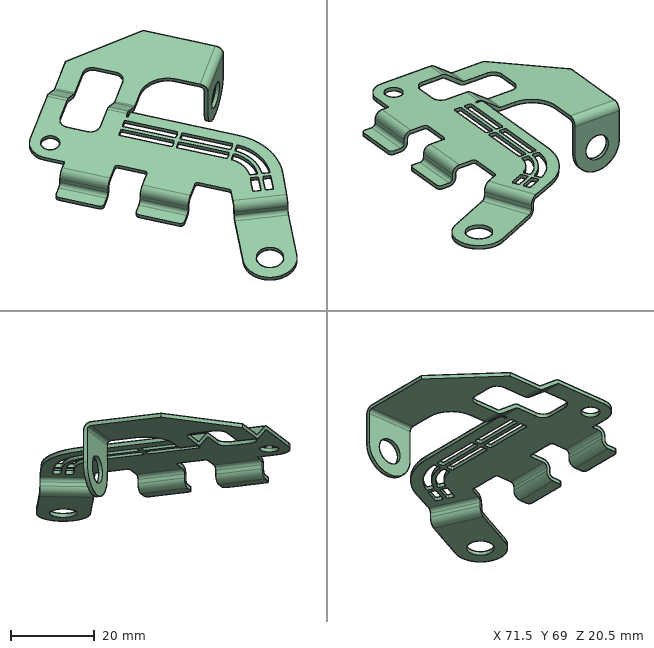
import cadquery as cq
import math

thickness = 1.0
inner_bend = 1.0
outer_bend = inner_bend + thickness
upper_top = 5.0
upper_bottom = upper_top - thickness
square_step_angle = 90.0

corner_radius = 5.0
left_x = -corner_radius
neck_right_x = 15.0
rear_y = 45.0
rear_chamfer = 15.0
neck_fillet = 7.0
rear_step_y = 14.3
rear_step_angle = 36.0
small_hole_diameter = 4.6

window_width = 10.0
window_y_min = 6.0
window_y_max = 30.0
window_radius = 2.5

eye_radius = 6.5
eye_hole_diameter = 6.6
flange_x = 30.0
flange_eye_z = -9.0
flange_y = rear_y - eye_radius

tab_lefts = (5.0, 25.0)
tab_width = 12.0
tab_step_y = -7.0
tab_end_y = -13.0
tab_corner_radius = 1.0
notch_y = -2.5
notch_radius = 0.7

arm_y = 15.0
arm_radius = 15.0
arm_center = (42.6, arm_y - arm_radius)
arm_start_angle = 90.0
lug_center = (60.0, -17.5)
lug_tilt = 25.0
arm_middle_angle = (arm_start_angle + lug_tilt) / 2
lug_step_to_eye = 16.0
relief_width = 0.5
relief_y = 13.6

slot_row_depths = (3.0, 6.0)
slot_width = 2.0
slot_web = 1.0
slot_radius = 0.35
slot_start_x = 15.0
slot_split_x = 28.9
lug_slot_length = 4.4

lug_along = cq.Vector(math.sin(math.radians(lug_tilt)), -math.cos(math.radians(lug_tilt)), 0)
lug_across = cq.Vector(-lug_along.y, lug_along.x, 0)


def lug_point(along, across):
    """Plan position measured from the lug eye, along the lug and towards its outer edge."""
    point = cq.Vector(*lug_center) + lug_along * along + lug_across * across
    return (point.x, point.y)


def arm_point(radius, angle):
    """Plan position on a circle about the centre of the arm's curve."""
    turn = math.radians(angle)
    return (arm_center[0] + radius * math.cos(turn), arm_center[1] + radius * math.sin(turn))


def step_run(angle):
    """Horizontal length of a step between the two levels."""
    turn = math.radians(angle)
    straight_rise = upper_bottom - (inner_bend + outer_bend) * (1 - math.cos(turn))
    return (inner_bend + outer_bend) * math.sin(turn) + straight_rise / math.tan(turn)


def step_down(start, direction, width, angle):
    """Double bend from the upper to the lower level, centred on start and running along direction."""
    run = step_run(angle)
    upper_bend_z = upper_top - outer_bend
    lower_bend_z = thickness + inner_bend

    def on_upper(radius, turn):
        return (radius * math.sin(math.radians(turn)), upper_bend_z + radius * math.cos(math.radians(turn)))

    def on_lower(radius, turn):
        return (run - radius * math.sin(math.radians(turn)),
                lower_bend_z - radius * math.cos(math.radians(turn)))

    plane = cq.Plane(
        origin=(start[0], start[1], 0),
        xDir=direction,
        normal=direction.cross(cq.Vector(0, 0, 1)),
    )
    return (
        cq.Workplane(plane)
        .moveTo(0, upper_top)
        .threePointArc(on_upper(outer_bend, angle / 2), on_upper(outer_bend, angle))
        .lineTo(*on_lower(inner_bend, angle))
        .threePointArc(on_lower(inner_bend, angle / 2), on_lower(inner_bend, 0))
        .lineTo(*on_lower(outer_bend, 0))
        .threePointArc(on_lower(outer_bend, angle / 2), on_lower(outer_bend, angle))
        .lineTo(*on_upper(inner_bend, angle))
        .threePointArc(on_upper(inner_bend, angle / 2), on_upper(inner_bend, 0))
        .close()
        .extrude(width / 2, both=True)
    )


def main_plate():
    """Upper-level plate, its edges ending where the steps begin."""
    outline = (
        cq.Workplane("XY", origin=(0, 0, upper_bottom))
        .moveTo(left_x, rear_step_y)
        .lineTo(left_x, 0)
        .radiusArc((0, -corner_radius), -corner_radius)
        .lineTo(tab_lefts[0], -corner_radius)
    )
    notch_corners = []
    for left in tab_lefts:
        right = left + tab_width
        outline = outline.lineTo(left, tab_step_y).lineTo(right, tab_step_y).lineTo(right, notch_y)
        notch_corners.append((right, notch_y))
        if left != tab_lefts[-1]:
            outline = outline.lineTo(tab_lefts[-1], notch_y)
            notch_corners.append((tab_lefts[-1], notch_y))

    lug_inner = lug_point(0, -eye_radius)
    lug_root_x = lug_inner[0] + (lug_inner[1] - notch_y) * math.tan(math.radians(lug_tilt))
    notch_corners.append((lug_root_x, notch_y))
    plate = (
        outline.lineTo(lug_root_x, notch_y)
        .lineTo(*lug_point(-lug_step_to_eye, -eye_radius))
        .lineTo(*lug_point(-lug_step_to_eye, eye_radius))
        .lineTo(*arm_point(arm_radius, lug_tilt))
        .threePointArc(arm_point(arm_radius, arm_middle_angle), arm_point(arm_radius, arm_start_angle))
        .lineTo(neck_right_x + relief_width, arm_y)
        .lineTo(neck_right_x + relief_width, relief_y)
        .radiusArc((neck_right_x, relief_y), relief_width / 2)
        .lineTo(neck_right_x, rear_step_y)
        .close()
        .extrude(thickness)
    )
    middle_z = upper_bottom + thickness / 2
    for x, y in notch_corners:
        corner = cq.NearestToPointSelector((x, y, middle_z))
        plate = plate.edges("|Z").edges(corner).fillet(notch_radius)
    return plate


def rear_plate():
    step_end_y = rear_step_y + step_run(rear_step_angle)
    flange_front_y = rear_y - 2 * eye_radius
    return (
        cq.Workplane("XY")
        .moveTo(left_x, step_end_y)
        .lineTo(left_x, rear_y - rear_chamfer)
        .lineTo(left_x + rear_chamfer, rear_y)
        .lineTo(flange_x - outer_bend, rear_y)
        .lineTo(flange_x - outer_bend, flange_front_y)
        .lineTo(neck_right_x + neck_fillet, flange_front_y)
        .radiusArc((neck_right_x, flange_front_y - neck_fillet), -neck_fillet)
        .lineTo(neck_right_x, step_end_y)
        .close()
        .extrude(thickness)
    )


def rear_step():
    width = neck_right_x - left_x
    return step_down((left_x + width / 2, rear_step_y), cq.Vector(0, 1, 0), width, rear_step_angle)


def hanging_flange():
    bend_x = flange_x - outer_bend
    bend_z = -inner_bend
    diagonal = math.sqrt(0.5)
    bend = (
        cq.Workplane("XZ", origin=(0, flange_y, 0))
        .moveTo(bend_x, thickness)
        .threePointArc((bend_x + outer_bend * diagonal, bend_z + outer_bend * diagonal), (flange_x, bend_z))
        .lineTo(flange_x - thickness, bend_z)
        .threePointArc((bend_x + inner_bend * diagonal, bend_z + inner_bend * diagonal), (bend_x, 0))
        .close()
        .extrude(eye_radius, both=True)
    )
    leaf = (
        cq.Workplane("YZ", origin=(flange_x - thickness, flange_y, 0))
        .moveTo(-eye_radius, bend_z)
        .lineTo(-eye_radius, flange_eye_z)
        .threePointArc((0, flange_eye_z - eye_radius), (eye_radius, flange_eye_z))
        .lineTo(eye_radius, bend_z)
        .close()
        .extrude(thickness)
        .cut(
            cq.Workplane("YZ", origin=(flange_x - thickness, flange_y, flange_eye_z))
            .circle(eye_hole_diameter / 2)
            .extrude(thickness)
        )
    )
    return bend.union(leaf)


def front_tab(left):
    middle_x = left + tab_width / 2
    foot_y = tab_step_y - step_run(square_step_angle)
    foot = (
        cq.Workplane("XY", origin=(middle_x, (foot_y + tab_end_y) / 2, 0))
        .rect(tab_width, foot_y - tab_end_y)
        .extrude(thickness)
        .edges("|Z and <Y")
        .fillet(tab_corner_radius)
    )
    step = step_down((middle_x, tab_step_y), cq.Vector(0, -1, 0), tab_width, square_step_angle)
    return foot.union(step)


def lug():
    step = step_down(lug_point(-lug_step_to_eye, 0), lug_along, 2 * eye_radius, square_step_angle)
    foot_start = step_run(square_step_angle) - lug_step_to_eye
    foot = (
        cq.Workplane("XY")
        .moveTo(*lug_point(foot_start, eye_radius))
        .lineTo(*lug_point(0, eye_radius))
        .threePointArc(lug_point(eye_radius, 0), lug_point(0, -eye_radius))
        .lineTo(*lug_point(foot_start, -eye_radius))
        .close()
        .extrude(thickness)
        .cut(cq.Workplane("XY").center(*lug_center).circle(eye_hole_diameter / 2).extrude(thickness))
    )
    return step.union(foot)


def straight_slot(center, length, angle):
    return (
        cq.Workplane("XY")
        .rect(length, slot_width)
        .extrude(upper_top)
        .edges("|Z")
        .fillet(slot_radius)
        .rotate((0, 0, 0), (0, 0, 1), angle)
        .translate((center[0], center[1], 0))
    )


def curved_slot(outer_radius):
    """Slot following the arm's curve, stopping half a web short of each end of the curve."""
    inner_radius = outer_radius - slot_width
    half_web = slot_web / 2

    def ends(radius):
        trim = math.degrees(math.asin(half_web / radius))
        return arm_point(radius, arm_start_angle - trim), arm_point(radius, lug_tilt + trim)

    outer_start, outer_end = ends(outer_radius)
    inner_start, inner_end = ends(inner_radius)
    return (
        cq.Workplane("XY")
        .moveTo(*outer_start)
        .threePointArc(arm_point(outer_radius, arm_middle_angle), outer_end)
        .lineTo(*inner_end)
        .threePointArc(arm_point(inner_radius, arm_middle_angle), inner_start)
        .close()
        .extrude(upper_top)
        .edges("|Z")
        .fillet(slot_radius)
    )


def arm_slots():
    half_web = slot_web / 2
    straight_spans = (
        (slot_start_x, slot_split_x - half_web),
        (slot_split_x + half_web, arm_center[0] - half_web),
    )
    slots = cq.Workplane("XY")
    for depth in slot_row_depths:
        outer_radius = arm_radius - depth
        middle_radius = outer_radius - slot_width / 2
        for start, end in straight_spans:
            center = ((start + end) / 2, arm_center[1] + middle_radius)
            slots = slots.add(straight_slot(center, end - start, 0))
        slots = slots.add(curved_slot(outer_radius))

        curve_end = cq.Vector(*arm_point(middle_radius, lug_tilt))
        lug_slot_center = curve_end + lug_along * (half_web + lug_slot_length / 2)
        slots = slots.add(straight_slot(lug_slot_center.toTuple(), lug_slot_length, lug_tilt - arm_start_angle))
    return slots.combine()


def window():
    return (
        cq.Workplane("XY", origin=(window_width / 2, (window_y_min + window_y_max) / 2, 0))
        .rect(window_width, window_y_max - window_y_min)
        .extrude(upper_top)
        .edges("|Z")
        .fillet(window_radius)
    )


def small_hole():
    return cq.Workplane("XY").circle(small_hole_diameter / 2).extrude(upper_top)


result = main_plate().union(rear_step()).union(rear_plate()).union(hanging_flange()).union(lug())
for tab_left in tab_lefts:
    result = result.union(front_tab(tab_left))
result = result.cut(arm_slots()).cut(window()).cut(small_hole())